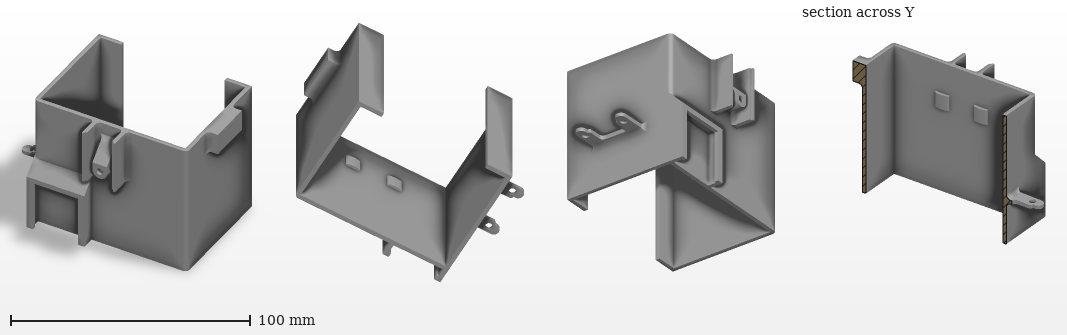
import cadquery as cq

WIDTH = 74.0
DEPTH = 54.05
HEIGHT = 62.0
WALL = 2.0
LEFT_LIP = 11.8
RIGHT_LIP = 12.0
BLEND = 2.0
MID_X = WIDTH / 2
MID_Y = DEPTH / 2

HOOD_WIDTH = 27.9
HOOD_REACH = 6.0
HOOD_FRONT_HEIGHT = 26.1
POCKET_LEFT = 3.0
POCKET_RIGHT = 24.9
POCKET_HEIGHT = 23.8
POCKET_UNDERCUT = 1.0

RAIL_SPAN = 16.0
RAIL_THICKNESS = 2.0
RAIL_REACH = 10.0
RAIL_LENGTH = 25.0
LIP_THICKNESS = 1.0
LIP_LENGTH = 1.0

POST_DIAMETER = 7.0
POST_REACH = 8.9
POST_HOLE = 3.1
POST_HOLE_Z = 44.0
POST_TOP_Z = 56.6
POST_SHOULDER_Z = 47.6
POST_BLEND = 2.0

PAD_WIDTH = 7.05
PAD_HEIGHT = 7.0
PAD_REACH = 1.6
PAD_SHOULDER_REACH = 1.2
PAD_CORNER = 0.6
PAD_SPACING = 19.9

LUG_WIDTH = 20.0
LUG_REACH = 5.0
LUG_HEIGHT = 10.0

TAB_WIDTH = 25.4
TAB_REACH = 15.0
TAB_THICKNESS = 2.0
TAB_TIP_THICKNESS = 1.6
TAB_Z = 21.1
TAB_HOLE = 3.1
TAB_HOLE_X = -10.1
TAB_HOLE_SPACING = 19.7
TIP_WIDTH = 4.8
TIP_FLAT = 0.02
STEP_X = -11.7
STEP_RADIUS = 1.0
THROAT_HALF_WIDTH = 6.6
THROAT_X = -3.0

MARGIN = 0.1
OVERLAP = 0.9


def box(x0, x1, y0, y1, z0, z1):
    return cq.Workplane("XY").box(x1 - x0, y1 - y0, z1 - z0, centered=False).translate((x0, y0, z0))


def make_shell():
    body = box(0, WIDTH, 0, DEPTH, 0, HEIGHT).edges("|Z and <Y").fillet(BLEND)
    body = body.cut(box(WALL, WIDTH - WALL, WALL, DEPTH - WALL, 0, HEIGHT))
    return body.cut(box(LEFT_LIP, WIDTH - RIGHT_LIP, DEPTH - WALL, DEPTH, 0, HEIGHT))


def make_hood():
    profile = [
        (WALL, 0),
        (-HOOD_REACH, 0),
        (-HOOD_REACH, HOOD_FRONT_HEIGHT),
        (WALL, HOOD_FRONT_HEIGHT + HOOD_REACH + WALL),
    ]
    hood = cq.Workplane("YZ").polyline(profile).close().extrude(HOOD_WIDTH)
    opening = box(POCKET_LEFT, POCKET_RIGHT, -HOOD_REACH, 0, 0, POCKET_HEIGHT)
    chamber = box(POCKET_LEFT - POCKET_UNDERCUT, POCKET_RIGHT + POCKET_UNDERCUT,
                  WALL - HOOD_REACH, 0, 0, POCKET_HEIGHT + POCKET_UNDERCUT)
    return hood.cut(opening).cut(chamber)


def make_rail(side):
    outer = RAIL_SPAN / 2
    inner = outer - RAIL_THICKNESS

    def at(x, y):
        return (MID_X + side * x, y)

    def blend_mid(x, direction):
        offset = BLEND * (1 - 0.5 ** 0.5)
        return at(x + direction * offset, -offset)

    section = (
        cq.Workplane("XY", origin=(0, 0, HEIGHT - RAIL_LENGTH))
        .moveTo(*at(outer, -BLEND))
        .lineTo(*at(outer, -RAIL_REACH))
        .lineTo(*at(outer - LIP_THICKNESS, -RAIL_REACH))
        .lineTo(*at(outer - LIP_THICKNESS, LIP_LENGTH - RAIL_REACH))
        .lineTo(*at(inner, LIP_LENGTH - RAIL_REACH))
        .lineTo(*at(inner, -BLEND))
        .threePointArc(blend_mid(inner, -1), at(inner - BLEND, 0))
        .lineTo(*at(inner - BLEND, OVERLAP))
        .lineTo(*at(outer + BLEND, OVERLAP))
        .lineTo(*at(outer + BLEND, 0))
        .threePointArc(blend_mid(outer, 1), at(outer, -BLEND))
        .close()
    )
    return section.extrude(RAIL_LENGTH)


def make_post():
    radius = POST_DIAMETER / 2
    plate = box(0, WIDTH, 0, OVERLAP, 0, HEIGHT)
    upright = (
        cq.Workplane("XZ")
        .moveTo(MID_X - radius, HEIGHT)
        .lineTo(MID_X - radius, POST_HOLE_Z)
        .threePointArc((MID_X, POST_HOLE_Z - radius), (MID_X + radius, POST_HOLE_Z))
        .lineTo(MID_X + radius, HEIGHT)
        .close()
        .extrude(POST_REACH)
    )
    root = cq.selectors.BoxSelector(
        (MID_X - POST_DIAMETER, -MARGIN, MARGIN), (MID_X + POST_DIAMETER, MARGIN, HEIGHT - MARGIN)
    )
    post = plate.union(upright).edges(root).fillet(POST_BLEND)
    slope = (
        cq.Workplane("YZ")
        .polyline([
            (0, POST_TOP_Z),
            (-POST_REACH, POST_SHOULDER_Z),
            (-POST_REACH, HEIGHT),
            (0, HEIGHT),
        ])
        .close()
        .extrude(WIDTH)
    )
    hole = (
        cq.Workplane("XZ").center(MID_X, POST_HOLE_Z).circle(POST_HOLE / 2).extrude(POST_REACH)
    )
    reach = box(MID_X - POST_DIAMETER, MID_X + POST_DIAMETER, -POST_REACH, OVERLAP, MARGIN, HEIGHT)
    return post.intersect(reach).cut(slope).cut(hole)


def make_pad(x):
    half = PAD_WIDTH / 2
    shoulder = half - PAD_CORNER
    side_reach = PAD_SHOULDER_REACH - PAD_CORNER
    return (
        cq.Workplane("XY", origin=(x, WALL, POST_HOLE_Z - PAD_HEIGHT / 2))
        .moveTo(half, -OVERLAP)
        .lineTo(half, side_reach)
        .lineTo(shoulder, PAD_SHOULDER_REACH)
        .threePointArc((0, PAD_REACH), (-shoulder, PAD_SHOULDER_REACH))
        .lineTo(-half, side_reach)
        .lineTo(-half, -OVERLAP)
        .close()
        .extrude(PAD_HEIGHT)
    )


def make_lug():
    low, high = MID_Y - LUG_WIDTH / 2, MID_Y + LUG_WIDTH / 2
    plate = box(WIDTH - OVERLAP, WIDTH, 0, DEPTH, 0, HEIGHT)
    lug = box(WIDTH, WIDTH + LUG_REACH, low, high, HEIGHT - LUG_HEIGHT, HEIGHT)
    root = cq.selectors.BoxSelector(
        (WIDTH - MARGIN, low - MARGIN, HEIGHT - LUG_HEIGHT - MARGIN),
        (WIDTH + MARGIN, high + MARGIN, HEIGHT - MARGIN),
    )
    reach = box(WIDTH - OVERLAP, WIDTH + LUG_REACH, low - BLEND, high + BLEND, 0, HEIGHT)
    return plate.union(lug).edges(root).fillet(BLEND).intersect(reach)


def make_tab():
    half = TAB_WIDTH / 2
    plate = box(0, OVERLAP, BLEND, DEPTH - BLEND, 0, HEIGHT)
    low, high = MID_Y - half, MID_Y + half
    top = TAB_Z + TAB_THICKNESS / 2
    tab = box(-TAB_REACH, 0, low, high, top - TAB_THICKNESS, top)
    root = cq.selectors.BoxSelector(
        (-MARGIN, low - MARGIN, TAB_Z - TAB_THICKNESS), (MARGIN, high + MARGIN, TAB_Z + TAB_THICKNESS)
    )
    tab = plate.union(tab).edges(root).fillet(BLEND)
    reach = box(-TAB_REACH, OVERLAP, low - BLEND, high + BLEND, TAB_Z - 2 * BLEND, TAB_Z + 2 * BLEND)
    tab = tab.intersect(reach)
    tip_inner = half - TIP_WIDTH
    throat = box(-TAB_REACH, THROAT_X, MID_Y - THROAT_HALF_WIDTH, MID_Y + THROAT_HALF_WIDTH, 0, HEIGHT)
    tab = tab.cut(throat.edges("|Z and >X").fillet(BLEND))
    tab = tab.cut(box(-TAB_REACH, STEP_X, MID_Y - tip_inner, MID_Y + tip_inner, 0, HEIGHT))
    for side in (-1, 1):
        shoulder = (STEP_X, MID_Y + side * THROAT_HALF_WIDTH, TAB_Z)
        tab = tab.edges(cq.selectors.NearestToPointSelector(shoulder)).fillet(STEP_RADIUS)
    tab = tab.edges("|Z and <X").fillet((TIP_WIDTH - TIP_FLAT) / 2)
    holes = (
        cq.Workplane("XY")
        .pushPoints([(TAB_HOLE_X, MID_Y + side * TAB_HOLE_SPACING / 2) for side in (-1, 1)])
        .circle(TAB_HOLE / 2)
        .extrude(HEIGHT)
    )
    taper = (
        cq.Workplane("XZ")
        .polyline([
            (-BLEND, top),
            (-TAB_REACH, top),
            (-TAB_REACH, top - TAB_THICKNESS + TAB_TIP_THICKNESS),
        ])
        .close()
        .extrude(-DEPTH)
    )
    return tab.cut(holes).cut(taper)


result = make_shell().union(make_hood()).union(make_post()).union(make_lug()).union(make_tab())
for side in (-1, 1):
    result = result.union(make_rail(side))
    result = result.union(make_pad(MID_X + side * PAD_SPACING / 2))